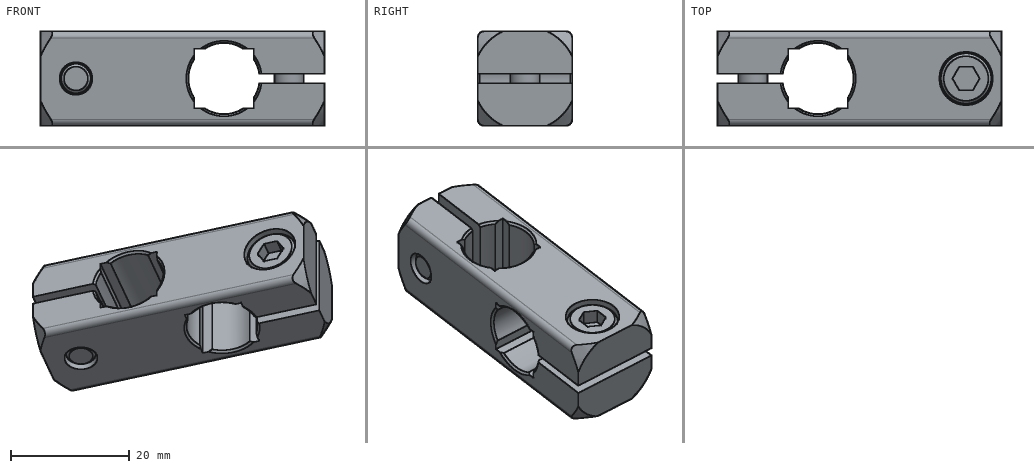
import cadquery as cq

length = 48.0
width = 16.0
edge_radius = 1.1
end_face_diameter = 17.6

bore_offset = 7.0
bore_diameter = 12.0
bore_chamfer = 0.4
bore_square = 10.0
slot_width = 1.6

screw_offset = 18.0
screw_diameter = 5.0
screw_recess = 0.5
screw_chamfer = 0.5
head_diameter = 8.5
head_height = 5.0
hex_across_flats = 4.0
hex_depth = 2.5
counterbore_diameter = 9.0
screw_hole_diameter = 5.5

half_length = length / 2
half_width = width / 2
counterbore_depth = screw_recess + head_height


def z_cylinder(x, z_bottom, diameter, height):
    """Vertical cylinder centred on y = 0."""
    return cq.Workplane("XY", origin=(x, 0, z_bottom)).circle(diameter / 2).extrude(height)


def make_block():
    """Rounded square bar whose corners are turned off by a 45 degree cone at each end."""
    bar = cq.Workplane("XY").box(length, width, width).edges("|X").fillet(edge_radius)
    cone_depth = half_width
    turning_diameter = end_face_diameter + 2 * cone_depth
    envelope = (
        cq.Workplane("YZ", origin=(-half_length, 0, 0))
        .circle(turning_diameter / 2)
        .extrude(length)
        .faces("<X or >X")
        .chamfer(cone_depth)
    )
    return bar.intersect(envelope)


def make_clamp_cut():
    """Vertical tube bore at -bore_offset, with its slot running out through the -X end."""
    bore = z_cylinder(-bore_offset, -half_width, bore_diameter, width)
    square = cq.Workplane("XY").box(bore_square, bore_square, width).translate((-bore_offset, 0, 0))
    mouth = cq.Workplane(
        cq.Solid.makeCone(
            bore_diameter / 2,
            bore_diameter / 2 + bore_chamfer,
            bore_chamfer,
            pnt=cq.Vector(-bore_offset, 0, half_width - bore_chamfer),
        )
    )
    slot_length = half_length - bore_offset
    slot = cq.Workplane("XY").box(slot_length, slot_width, width)
    slot = slot.translate((-bore_offset - slot_length / 2, 0, 0))
    return bore.union(square).union(mouth).union(mouth.mirror("XY")).union(slot)


def make_screw_hole():
    """Counterbored hole along Z at +screw_offset, head side up."""
    hole = z_cylinder(screw_offset, -half_width, screw_hole_diameter, width)
    counterbore = z_cylinder(
        screw_offset, half_width - counterbore_depth, counterbore_diameter, counterbore_depth
    )
    return hole.union(counterbore)


def make_screw():
    """Socket head screw along Z at +screw_offset, head up and chamfered at both ends."""
    head_top = half_width - screw_recess
    head_bottom = head_top - head_height
    tip = screw_recess - half_width
    shank = z_cylinder(screw_offset, tip, screw_diameter, head_bottom - tip)
    shank = shank.faces("<Z").chamfer(screw_chamfer)
    head = z_cylinder(screw_offset, head_bottom, head_diameter, head_height)
    head = head.faces(">Z").chamfer(screw_chamfer)
    hex_diameter = hex_across_flats * 2 / 3 ** 0.5
    socket = (
        cq.Workplane("XY", origin=(screw_offset, 0, head_top - hex_depth))
        .polygon(6, hex_diameter)
        .extrude(hex_depth)
    )
    return shank.union(head).cut(socket)


def other_clamp(shape):
    """Turn a feature of the vertical clamp into that of the clamp along Y at the other end."""
    turned = shape.rotate((0, 0, 0), (0, 0, 1), 180)
    return turned.rotate((0, 0, 0), (1, 0, 0), -90)


clamp_cut = make_clamp_cut()
screw_hole = make_screw_hole()
screw = make_screw()

result = make_block()
for cut in (clamp_cut, screw_hole):
    result = result.cut(cut).cut(other_clamp(cut))
result = result.union(screw).union(other_clamp(screw))